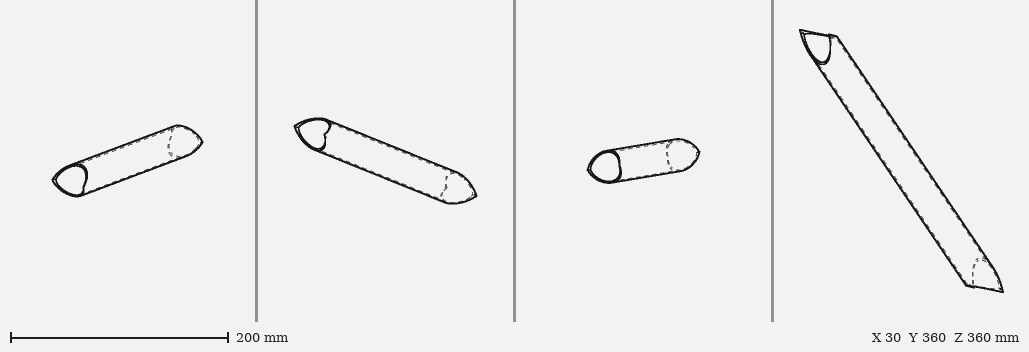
import cadquery as cq
import math

span = 360.0
outer_diameter = 30.0
wall = 1.5
tilt = 45.0

outer_radius = outer_diameter / 2
inner_radius = outer_radius - wall
half_span = span / 2
half_length = half_span / math.cos(math.radians(tilt))
cutter_reach = 3 * outer_diameter


def make_brace():
    """Tube between the two corners, with its upper end leaning towards -Y."""
    tube = (
        cq.Workplane("XY")
        .circle(outer_radius)
        .circle(inner_radius)
        .extrude(half_length, both=True)
    )
    return tube.rotate((0, 0, 0), (1, 0, 0), tilt)


def make_cope_cutter(plane, y, z):
    """Cylinder normal to the given plane, shaped like a tube meeting at a corner."""
    return (
        cq.Workplane(plane, origin=(0, y, z))
        .circle(outer_radius)
        .extrude(cutter_reach, both=True)
    )


result = make_brace()
for end in (-1, 1):
    for plane in ("XY", "XZ"):
        result = result.cut(make_cope_cutter(plane, -end * half_span, end * half_span))